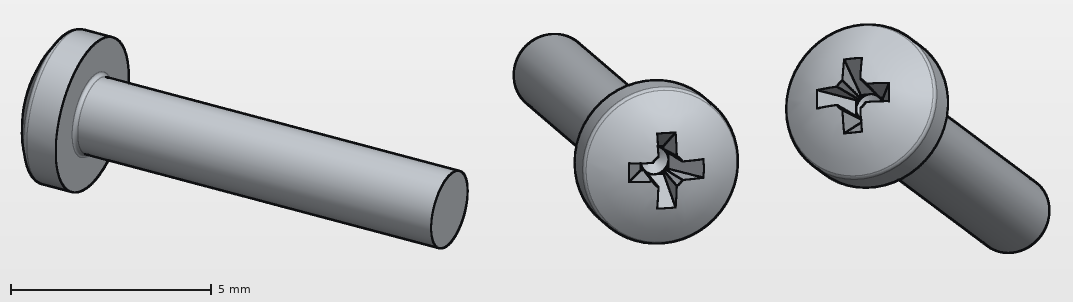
import cadquery as cq
import math

overall_length = 11.57
neck_fillet = 0.1

head_radius = 2.0
shank_radius = head_radius / 2
head_height = 1.59
dome_radius = 3.22
rim_fillet = 0.15

wing_reach = 0.97
wing_width = 0.47
wing_mouth_depth = 0.13
recess_depth = 1.35
core_mouth_radius = 0.45
core_foot_radius = 0.36
core_tip_angle = 30

apex_x = -head_height
foot_x = apex_x + recess_depth
mouth_x = apex_x + wing_mouth_depth
dome_centre_x = apex_x + dome_radius

front_x = dome_centre_x - math.sqrt(dome_radius**2 - core_mouth_radius**2)
shank_length = overall_length + front_x


def revolve_about_x(profile):
    return profile.close().revolve(360, (0, 0, 0), (1, 0, 0))


def make_head():
    """Cylinder with a spherical front and a rounded rim."""
    round_r = head_radius - rim_fillet
    centre_distance = dome_radius - rim_fillet
    round_x = dome_centre_x - math.sqrt(centre_distance**2 - round_r**2)

    rim_angle = math.asin(round_r / centre_distance)

    def on_dome(angle):
        return (dome_centre_x - dome_radius * math.cos(angle), dome_radius * math.sin(angle))

    round_mid_angle = (rim_angle + math.pi / 2) / 2
    round_mid = (
        round_x - rim_fillet * math.cos(round_mid_angle),
        round_r + rim_fillet * math.sin(round_mid_angle),
    )
    profile = (
        cq.Workplane("XY")
        .moveTo(apex_x, 0)
        .threePointArc(on_dome(rim_angle / 2), on_dome(rim_angle))
        .threePointArc(round_mid, (round_x, head_radius))
        .lineTo(0, head_radius)
        .lineTo(0, 0)
    )
    return revolve_about_x(profile)


def make_shank():
    """Plain cylinder with a concave fillet under the head."""
    fillet_inset = neck_fillet * (1 - math.sqrt(0.5))
    profile = (
        cq.Workplane("XY")
        .lineTo(0, shank_radius + neck_fillet)
        .threePointArc((fillet_inset, shank_radius + fillet_inset), (neck_fillet, shank_radius))
        .lineTo(shank_length, shank_radius)
        .lineTo(shank_length, 0)
    )
    return revolve_about_x(profile)


def make_recess():
    """Cross recess: tapered core with a conical bottom and two crossed, tapered wings."""
    tip_x = foot_x + core_foot_radius * math.tan(math.radians(core_tip_angle))
    core = revolve_about_x(
        cq.Workplane("XY")
        .moveTo(apex_x, 0)
        .lineTo(apex_x, core_mouth_radius)
        .lineTo(front_x, core_mouth_radius)
        .lineTo(foot_x, core_foot_radius)
        .lineTo(tip_x, 0)
    )

    end_slope = (wing_reach - core_foot_radius) / (foot_x - mouth_x)
    apex_reach = wing_reach + end_slope * wing_mouth_depth
    wing = (
        cq.Workplane("XY")
        .polyline([
            (apex_x, apex_reach),
            (foot_x, core_foot_radius),
            (foot_x, -core_foot_radius),
            (apex_x, -apex_reach),
        ])
        .close()
        .extrude(wing_width / 2, both=True)
    )
    recess = core
    for turn in (0, 90):
        recess = recess.union(wing.rotate((0, 0, 0), (1, 0, 0), turn))
    return recess


result = make_head().union(make_shank()).cut(make_recess())